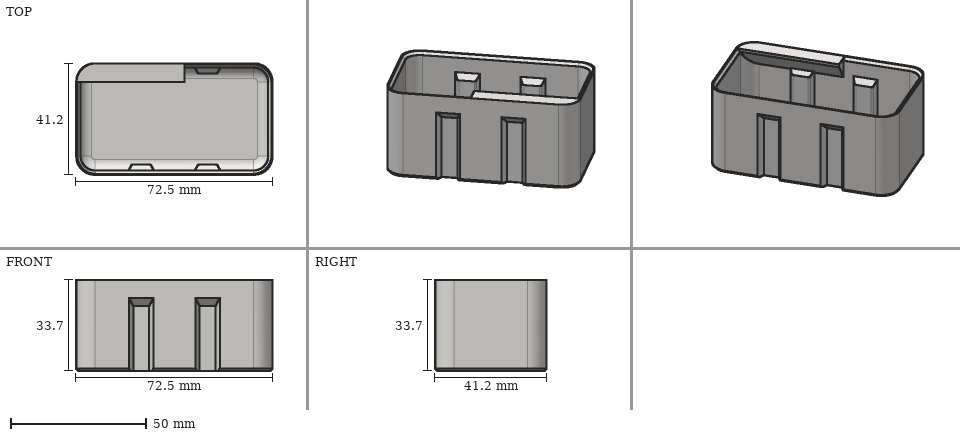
import cadquery as cq
import math

length = 72.5
width = 41.2
height = 33.7
corner_radius = 7.0
foot_chamfer = 1.0

wall = 1.6
floor_thickness = 1.0
floor_fillet = 4.0
rim_land = 0.4
rim_chamfer = wall - rim_land
overrun = 1.0

groove_offset = 12.25
groove_mouth = 9.0
groove_base = 5.85
groove_depth = 2.95
groove_top = 27.0
groove_skin = 0.9

ledge_length = 40.0
ledge_depth = 7.0
ledge_edge = 1.2
ledge_drop = 9.0

half_width = width / 2
on_base = (True, True, False)


def make_body():
    """Rounded block with a chamfered foot."""
    block = cq.Workplane("XY").box(length, width, height, centered=on_base)
    return block.edges("|Z").fillet(corner_radius).faces("<Z").chamfer(foot_chamfer)


def make_cavity():
    """Pocket with a rounded floor edge and a rim that flares outwards."""
    pocket = (
        cq.Workplane("XY", origin=(0, 0, floor_thickness))
        .box(length - 2 * wall, width - 2 * wall, height - floor_thickness, centered=on_base)
        .edges("|Z").fillet(corner_radius - wall)
        .faces("<Z").edges().fillet(floor_fillet)
    )
    flare = (
        cq.Workplane("XY", origin=(0, 0, height - rim_chamfer))
        .box(length - 2 * rim_land, width - 2 * rim_land, rim_chamfer + overrun, centered=on_base)
        .edges("|Z").fillet(corner_radius - rim_land)
        .faces("<Z").chamfer(rim_chamfer)
    )
    return pocket.union(flare)


def make_groove(skin):
    """Front groove at X = 0, grown on all sides by skin, with its top sloping at 45 degrees."""
    half_base = groove_base / 2
    side_run = (groove_mouth - groove_base) / 2
    side_length = math.hypot(side_run, groove_depth)
    normal_x = groove_depth / side_length
    normal_y = side_run / side_length
    face = -half_width
    base = face + groove_depth
    half_mouth = groove_mouth / 2 + skin / normal_x
    profile = cq.Workplane("XY").moveTo(-half_mouth, face)
    if skin > 0:
        shoulder_x = half_base + skin * normal_x
        shoulder_y = base + skin * normal_y
        profile = (
            profile.lineTo(-shoulder_x, shoulder_y)
            .radiusArc((-half_base, base + skin), skin)
            .lineTo(half_base, base + skin)
            .radiusArc((shoulder_x, shoulder_y), skin)
        )
    else:
        profile = profile.lineTo(-half_base, base).lineTo(half_base, base)
    prism = profile.lineTo(half_mouth, face).close().extrude(height)

    top = groove_top + skin * math.sqrt(2)
    slope_end = groove_depth + skin
    envelope = (
        cq.Workplane("YZ", origin=(-groove_mouth, 0, 0))
        .moveTo(face, 0)
        .lineTo(face, top)
        .lineTo(face + slope_end, top - slope_end)
        .lineTo(face + slope_end, 0)
        .close()
        .extrude(2 * groove_mouth)
    )
    return prism.intersect(envelope)


def make_ledge(body):
    """Shelf across the back left rim on a sloped underside, trimmed to the body."""
    back = half_width
    front = half_width - ledge_depth
    shelf = (
        cq.Workplane("YZ", origin=(-length / 2, 0, 0))
        .moveTo(back, height)
        .lineTo(front, height)
        .lineTo(front, height - ledge_edge)
        .lineTo(back, height - ledge_edge - ledge_drop)
        .close()
        .extrude(ledge_length)
    )
    return shelf.intersect(body)


def on_both_walls(front_tool):
    """Copy a front tool to both groove positions on the front and back walls."""
    tools = cq.Workplane("XY")
    for x in (-groove_offset, groove_offset):
        front = front_tool.translate((x, 0, 0))
        back = front.mirror("XZ")
        tools = tools.add(front).add(back)
    return tools.combine()


body = make_body()
ribs = on_both_walls(make_groove(groove_skin)).intersect(body)
grooves = on_both_walls(make_groove(0))
result = body.cut(make_cavity()).union(ribs).union(make_ledge(body)).cut(grooves)